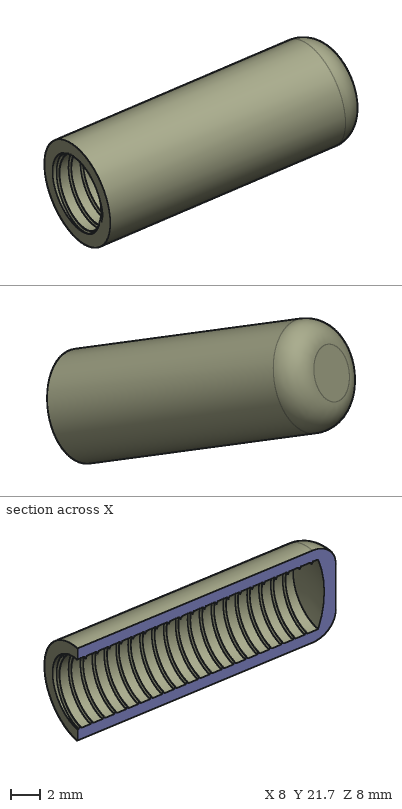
import cadquery as cq
import math

length = 21.7
outer_diameter = 8.0
outer_radius = outer_diameter / 2
tip_rounding = 2.0

bore_radius = 3.0
dome_radius = 9.0
end_wall = outer_radius - bore_radius
bore_depth = length - end_wall
dome_height = dome_radius - math.sqrt(dome_radius**2 - bore_radius**2)
straight_depth = bore_depth - dome_height

pitch = 1.0
ridge_height = 0.2
flank_angle = 30
ridge_root_overlap = 0.05
ridge_start = -1.05
thread_turns = math.floor((straight_depth - ridge_start) / pitch)


def body():
    """Plain cylinder along Y with the far end rounded over."""
    cylinder = cq.Workplane("XZ").circle(outer_radius).extrude(-length)
    return cylinder.faces(">Y").edges().fillet(tip_rounding)


def bore():
    """Revolved cutter: a cylinder closed by a shallow spherical dome."""
    half_angle = math.asin(bore_radius / dome_radius) / 2
    arc_middle = (
        dome_radius * math.sin(half_angle),
        bore_depth - dome_radius * (1 - math.cos(half_angle)),
    )
    return (
        cq.Workplane("XY")
        .lineTo(bore_radius, 0)
        .lineTo(bore_radius, straight_depth)
        .threePointArc(arc_middle, (0, bore_depth))
        .close()
        .revolve(360, (0, 0, 0), (0, 1, 0))
    )


def thread_ridge():
    """Right-handed ridge, swept about Z, turned onto the Y axis and cut off flush with the mouth."""
    root_radius = bore_radius + ridge_root_overlap
    crest_radius = bore_radius - ridge_height
    half_base = (root_radius - crest_radius) * math.tan(math.radians(flank_angle))
    helix = cq.Wire.makeHelix(pitch, pitch * thread_turns, bore_radius)
    ridge = (
        cq.Workplane("XZ")
        .moveTo(root_radius, -half_base)
        .lineTo(crest_radius, 0)
        .lineTo(root_radius, half_base)
        .close()
        .sweep(cq.Workplane(obj=helix), isFrenet=True)
        .rotate((0, 0, 0), (1, 0, 0), -90)
        .translate((0, ridge_start, 0))
    )
    return ridge.intersect(body())


result = body().cut(bore()).union(thread_ridge())